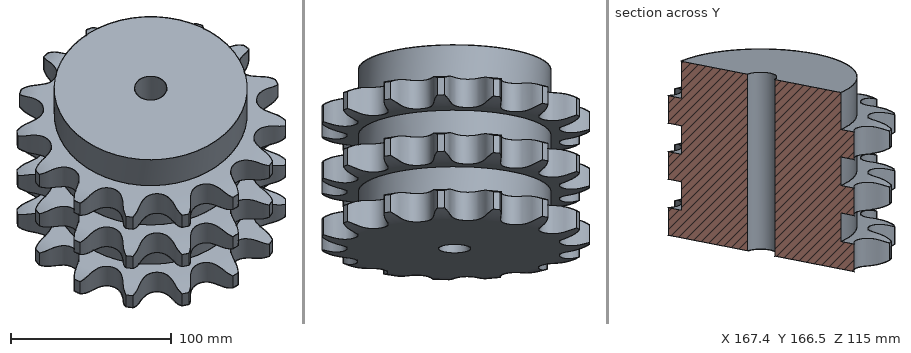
import cadquery as cq
import math


tooth_count = 15
chain_pitch = 31.75
roller_diameter = 19.05
row_count = 3
row_spacing = 36.4

tip_diameter = 167.9
disc_thickness = 18.2
hub_diameter = 120.0
bore_diameter = 20.0
total_height = 115.0

relief_depth = 3.5
relief_radius = 32.0

pitch_angle = 360.0 / tooth_count
half_pitch_angle = pitch_angle / 2
pitch_radius = chain_pitch / (2 * math.sin(math.radians(half_pitch_angle)))
tip_radius = tip_diameter / 2
blank_margin = 5.0

seating_clearance = 0.0381
seating_radius = 0.50025 * roller_diameter + seating_clearance
working_offset = 0.8 * roller_diameter
working_radius = working_offset + seating_radius
topping_offset = 1.4 * roller_diameter
seating_half_angle = 35.0 + 60.0 / tooth_count
working_arc_angle = 18.0 - 56.0 / tooth_count


def polar(center, radius, degrees):
    """Point at a distance and direction from a centre."""
    angle = math.radians(degrees)
    return (center[0] + radius * math.cos(angle), center[1] + radius * math.sin(angle))


def mirrored(point):
    """Point on the other side of the gap centreline."""
    return (-point[0], point[1])


def gap_cutter():
    """Prism that removes one tooth gap, centred on +Y."""
    seat_center = (0.0, pitch_radius)
    seat_bottom = (0.0, pitch_radius - seating_radius)
    seat_end = polar(seat_center, seating_radius, -seating_half_angle)

    working_center = polar(seat_center, working_offset, 180.0 - seating_half_angle)
    flank_normal = working_arc_angle - seating_half_angle
    working_middle = polar(
        working_center, working_radius, -seating_half_angle + working_arc_angle / 2
    )
    working_end = polar(working_center, working_radius, flank_normal)

    topping_center = polar(seat_center, topping_offset, -half_pitch_angle)
    normal = polar((0.0, 0.0), 1.0, flank_normal)
    topping_radius = (
        (topping_center[0] - working_end[0]) * normal[0]
        + (topping_center[1] - working_end[1]) * normal[1]
    )
    topping_start_angle = 180.0 + flank_normal
    topping_start = polar(topping_center, topping_radius, topping_start_angle)

    center_distance = math.hypot(*topping_center)
    center_direction = math.degrees(math.atan2(topping_center[1], topping_center[0]))
    cosine = (tip_radius**2 - center_distance**2 - topping_radius**2) / (
        2 * center_distance * topping_radius
    )
    topping_end_angle = center_direction + math.degrees(math.acos(cosine))
    topping_middle = polar(
        topping_center, topping_radius, (topping_start_angle + topping_end_angle) / 2
    )
    topping_end = polar(topping_center, topping_radius, topping_end_angle)
    outer_corner = (topping_end[0], tip_radius + blank_margin)

    return (
        cq.Workplane("XY")
        .moveTo(*mirrored(seat_end))
        .threePointArc(seat_bottom, seat_end)
        .threePointArc(working_middle, working_end)
        .lineTo(*topping_start)
        .threePointArc(topping_middle, topping_end)
        .lineTo(*outer_corner)
        .lineTo(*mirrored(outer_corner))
        .lineTo(*mirrored(topping_end))
        .threePointArc(mirrored(topping_middle), mirrored(topping_start))
        .lineTo(*mirrored(working_end))
        .threePointArc(mirrored(working_middle), mirrored(seat_end))
        .close()
        .extrude(disc_thickness)
    )


def relieved_blank():
    """Disc whose rim narrows along arcs tangent to its two faces."""
    relief_length = math.sqrt(2 * relief_radius * relief_depth - relief_depth**2)
    face_radius = tip_radius - relief_length
    half_sweep = math.asin(relief_length / relief_radius) / 2
    middle_radius = face_radius + relief_radius * math.sin(half_sweep)
    middle_drop = relief_radius * (1 - math.cos(half_sweep))
    return (
        cq.Workplane("XZ")
        .lineTo(face_radius, 0)
        .threePointArc((middle_radius, middle_drop), (tip_radius, relief_depth))
        .lineTo(tip_radius, disc_thickness - relief_depth)
        .threePointArc(
            (middle_radius, disc_thickness - middle_drop), (face_radius, disc_thickness)
        )
        .lineTo(0, disc_thickness)
        .close()
        .revolve(360, (0, 0, 0), (0, 1, 0))
    )


def toothed_disc():
    """One sprocket row, resting on Z = 0."""
    disc = relieved_blank()
    gap = gap_cutter()
    for index in range(tooth_count):
        disc = disc.cut(gap.rotate((0, 0, 0), (0, 0, 1), index * pitch_angle))
    return disc


def sprocket():
    """Hub with all tooth rows and a through bore."""
    body = cq.Workplane("XY").circle(hub_diameter / 2).extrude(total_height)
    disc = toothed_disc()
    for row in range(row_count):
        body = body.union(disc.translate((0, 0, row * row_spacing)))
    bore = cq.Workplane("XY").circle(bore_diameter / 2).extrude(total_height)
    return body.cut(bore)


result = sprocket()